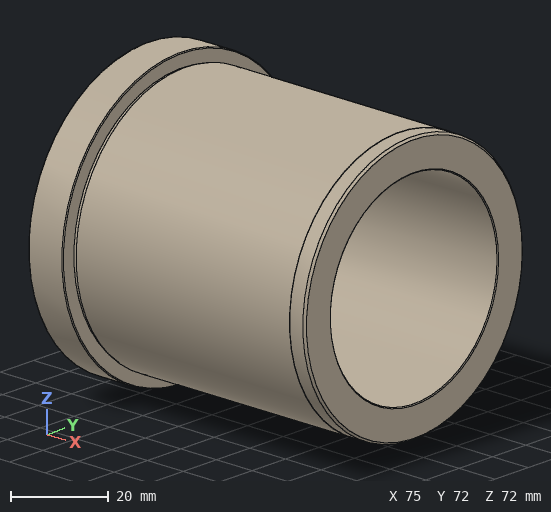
import cadquery as cq

length = 75.0
flange_diameter = 72.0
body_diameter = 66.0
bore_diameter = 50.0
flange_thickness = 10.0

flange_chamfer = 0.5
shoulder_chamfer = 0.2
bore_chamfer = 0.2
groove_width = 1.0
groove_depth = 0.4
lead_length = 4.2
lead_step = 0.1
end_chamfer = 0.5

flange_radius = flange_diameter / 2
body_radius = body_diameter / 2
bore_radius = bore_diameter / 2
groove_radius = body_radius - groove_depth
lead_radius = body_radius - lead_step
groove_end = flange_thickness + groove_width
lead_start = length - lead_length

section = (
    cq.Workplane("XY")
    .moveTo(bore_chamfer, bore_radius)
    .lineTo(0, bore_radius + bore_chamfer)
    .lineTo(0, flange_radius - flange_chamfer)
    .lineTo(flange_chamfer, flange_radius)
    .lineTo(flange_thickness - shoulder_chamfer, flange_radius)
    .lineTo(flange_thickness, flange_radius - shoulder_chamfer)
    .lineTo(flange_thickness, groove_radius)
    .lineTo(groove_end, groove_radius)
    .lineTo(groove_end, body_radius)
    .lineTo(lead_start, body_radius)
    .lineTo(lead_start, lead_radius)
    .lineTo(length - end_chamfer, lead_radius)
    .lineTo(length, lead_radius - end_chamfer)
    .lineTo(length, bore_radius + bore_chamfer)
    .lineTo(length - bore_chamfer, bore_radius)
    .close()
)

result = section.revolve(360, (0, 0, 0), (1, 0, 0))